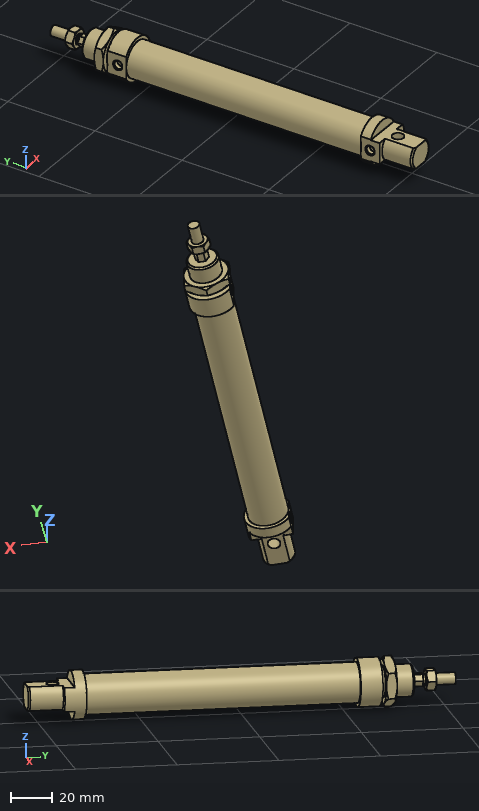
import cadquery as cq
import math


overall_length = 211.0
barrel_diameter = 20.0
cap_diameter = 24.0
cap_length = 10.8
cap_flat_width = 12.7
port_diameter = 4.5
port_mouth_diameter = 5.5
port_depth = 3.2
front_port_setback = 4.9
rear_port_setback = 5.3
sink_angle = 45.0

tongue_length = 17.0
tongue_diameter = 16.0
tongue_thickness = 12.0
tongue_chamfer = 0.8
cap_step = 5.0
pin_hole_diameter = 6.1
pin_hole_position = 13.0

collar_diameter = tongue_diameter
collar_length = 16.5
collar_chamfer = 0.8

threaded_end_length = 16.0
thread_diameter = 6.0
neck_length = 1.3
neck_diameter = 4.6
rod_exposed_length = 21.0
shank_across_flats = 6.0

rod_nut_across_flats = 10.0
rod_nut_thickness = 4.6
rod_nut_setback = 10.0
collar_nut_across_flats = 22.0
collar_nut_thickness = 5.3
collar_nut_setback = 9.3
corner_trim_angle = 30.0

hex_sides = 6
hex_half_angle = 180 / hex_sides

cap_flat_offset = math.sqrt((cap_diameter / 2) ** 2 - (cap_flat_width / 2) ** 2)

collar_face = overall_length - rod_exposed_length
front_cap_front = collar_face - collar_length
front_cap_rear = front_cap_front - cap_length
rear_cap_rear = tongue_length
rear_cap_front = rear_cap_rear + cap_length
step_face = rear_cap_rear + cap_step
front_port_position = front_cap_rear + front_port_setback
rear_port_position = rear_cap_front - rear_port_setback


def section_plane(y):
    """Plane across the axis, with local x along +X, local y along -Z and normal along +Y."""
    return cq.Workplane(cq.Plane(origin=(0, y, 0), xDir=(1, 0, 0), normal=(0, 1, 0)))


def round_section(diameter, start, end):
    return section_plane(start).circle(diameter / 2).extrude(end - start)


def across_corners(across_flats):
    return across_flats / math.cos(math.radians(hex_half_angle))


def hex_prism(across_flats, start, end, corner_angle):
    """Hexagonal prism with its first corner turned corner_angle degrees about the axis from +X."""
    prism = section_plane(start).polygon(hex_sides, across_corners(across_flats)).extrude(end - start)
    return prism.rotate((0, 0, 0), (0, 1, 0), corner_angle)


def end_cap(start):
    """Round cap with one flat on the -X side."""
    cap = round_section(cap_diameter, start, start + cap_length)
    beyond_flat = cq.Workplane("XY").box(cap_diameter, cap_length, cap_diameter)
    beyond_flat = beyond_flat.translate((-cap_flat_offset - cap_diameter / 2, start + cap_length / 2, 0))
    return cap.cut(beyond_flat)


def milling_slab():
    """Slab that the rear cap step and the tongue are milled to."""
    slab = cq.Workplane("XY").box(2 * cap_diameter, step_face, tongue_thickness)
    return slab.translate((0, step_face / 2, 0))


def port(y):
    """Blind hole from the port flat, with a countersunk mouth."""
    plane = cq.Plane(origin=(-cap_flat_offset, y, 0), xDir=(0, 1, 0), normal=(1, 0, 0))
    sink_depth = (port_mouth_diameter - port_diameter) / 2 / math.tan(math.radians(sink_angle))
    hole = cq.Workplane(plane).circle(port_diameter / 2).extrude(port_depth)
    countersink = cq.Workplane(plane).circle(port_mouth_diameter / 2).extrude(sink_depth, taper=sink_angle)
    return hole.union(countersink)


def make_housing():
    tongue = round_section(tongue_diameter, 0, step_face).faces("<Y").chamfer(tongue_chamfer)
    rear_cap = end_cap(rear_cap_rear)
    step_part = rear_cap.union(tongue).intersect(milling_slab())
    behind_step = section_plane(step_face).rect(2 * cap_diameter, 2 * cap_diameter).extrude(-step_face)
    rear_end = rear_cap.cut(behind_step).union(step_part)

    collar = round_section(collar_diameter, front_cap_front, collar_face).faces(">Y").chamfer(collar_chamfer)
    barrel = round_section(barrel_diameter, rear_cap_front, front_cap_rear)
    housing = rear_end.union(barrel).union(end_cap(front_cap_rear)).union(collar)

    pin_hole = (
        cq.Workplane("XY")
        .center(0, pin_hole_position)
        .circle(pin_hole_diameter / 2)
        .extrude(tongue_thickness, both=True)
    )
    housing = housing.cut(pin_hole)
    for port_position in (front_port_position, rear_port_position):
        housing = housing.cut(port(port_position))
    return housing


def make_piston_rod():
    """Hexagonal shank on the collar face, then a neck and the threaded end."""
    shank_end = overall_length - threaded_end_length
    neck_end = shank_end + neck_length
    shank = hex_prism(shank_across_flats, collar_face, shank_end, 0)
    neck = round_section(neck_diameter, shank_end, neck_end)
    thread = round_section(thread_diameter, neck_end, overall_length)
    return shank.union(neck).union(thread)


def make_hex_nut(across_flats, hole_diameter, start, thickness, corner_angle):
    """Hexagonal nut with its corners trimmed by a cone at both ends."""
    trim_radius = across_flats / 2
    corner_radius = across_corners(across_flats) / 2
    trim_height = (corner_radius - trim_radius) * math.tan(math.radians(corner_trim_angle))
    end = start + thickness
    trim_body = (
        cq.Workplane("XY")
        .moveTo(0, start)
        .lineTo(trim_radius, start)
        .lineTo(corner_radius, start + trim_height)
        .lineTo(corner_radius, end - trim_height)
        .lineTo(trim_radius, end)
        .lineTo(0, end)
        .close()
        .revolve(360, (0, 0, 0), (0, 1, 0))
    )
    hexagon = hex_prism(across_flats, start, end, corner_angle)
    return hexagon.intersect(trim_body).cut(round_section(hole_diameter, start, end))


housing = make_housing()
piston_rod = make_piston_rod()

rod_nut_start = overall_length - rod_nut_setback - rod_nut_thickness
rod_nut = make_hex_nut(rod_nut_across_flats, thread_diameter, rod_nut_start, rod_nut_thickness, 0)

collar_nut_start = collar_face - collar_nut_setback - collar_nut_thickness
collar_nut = make_hex_nut(
    collar_nut_across_flats, collar_diameter, collar_nut_start, collar_nut_thickness, hex_half_angle
)

result = cq.Compound.makeCompound(
    [housing.val(), piston_rod.val(), rod_nut.val(), collar_nut.val()]
)